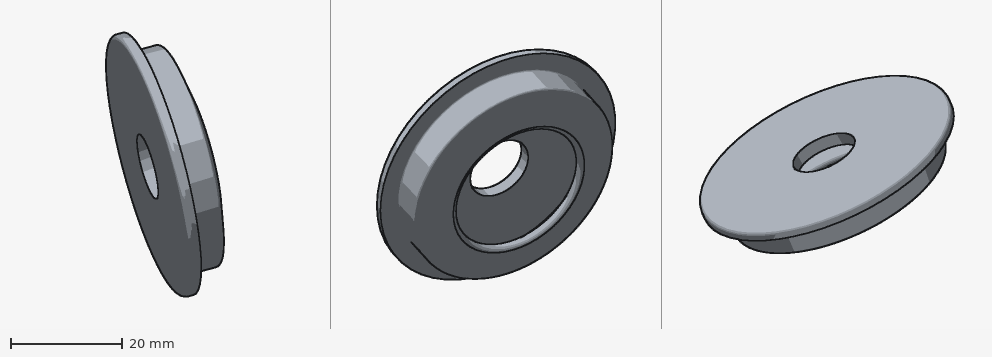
import cadquery as cq
import math

flange_radius = 24.5
flange_thickness = 2.0
flange_rounding = 1.0

body_radius = 20.75
total_depth = 9.5
cone_end_radius = 13.65
cone_angle = 15.0
root_fillet = 0.4
shoulder_rounding = 0.5

hole_radius = 6.05
front_wall = 2.5
lip_rounding = 1.0
side_wall = 2 * lip_rounding

slope = math.radians(cone_angle)
cone_drop = (body_radius - cone_end_radius) * math.tan(slope)
shoulder_y = total_depth - cone_drop


def revolve_about_y(profile):
    """Revolve a closed half profile, drawn as (radius, y), about the Y axis."""
    return profile.close().revolve(360, (0, 0, 0), (0, 1, 0))


def outer_shape():
    """Flange, body and cone, revolved from a half profile about the Y axis."""
    profile = [
        (0, 0),
        (flange_radius, 0),
        (flange_radius, flange_thickness),
        (body_radius, flange_thickness),
        (body_radius, shoulder_y),
        (cone_end_radius, total_depth),
        (0, total_depth),
    ]
    return revolve_about_y(cq.Workplane("XY").polyline(profile))


def hollow():
    """Cavity under the cone, open at the back through a mouth with a rounded lip."""
    inner_radius = body_radius - side_wall
    lip_center_y = total_depth - lip_rounding
    tangent_radius = cone_end_radius - lip_rounding * math.sin(slope)
    tangent_y = lip_center_y - lip_rounding * math.cos(slope)
    inner_shoulder_y = tangent_y - (inner_radius - tangent_radius) * math.tan(slope)
    profile = (
        cq.Workplane("XY")
        .moveTo(0, front_wall)
        .lineTo(inner_radius, front_wall)
        .lineTo(inner_radius, inner_shoulder_y)
        .lineTo(tangent_radius, tangent_y)
        .radiusArc((cone_end_radius - lip_rounding, lip_center_y), lip_rounding)
        .radiusArc((cone_end_radius, total_depth), lip_rounding)
        .lineTo(0, total_depth)
    )
    return revolve_about_y(profile)


def round_edge(body, radius, y, size):
    """Fillet the circular edge of the given radius at position y along the axis."""
    margin = 0.05
    reach = radius + margin
    low_corner = (-reach, y - margin, -reach)
    high_corner = (reach, y + margin, reach)
    box = cq.selectors.BoxSelector(low_corner, high_corner, boundingbox=True)
    rim = body.edges("%CIRCLE").edges(box).edges(cq.selectors.RadiusNthSelector(-1))
    return rim.fillet(size)


body = outer_shape()
body = round_edge(body, flange_radius, 0, flange_rounding)
body = round_edge(body, body_radius, flange_thickness, root_fillet)
body = round_edge(body, body_radius, shoulder_y, shoulder_rounding)

hole = cq.Workplane("XZ").circle(hole_radius).extrude(-total_depth)

result = body.cut(hollow()).cut(hole)